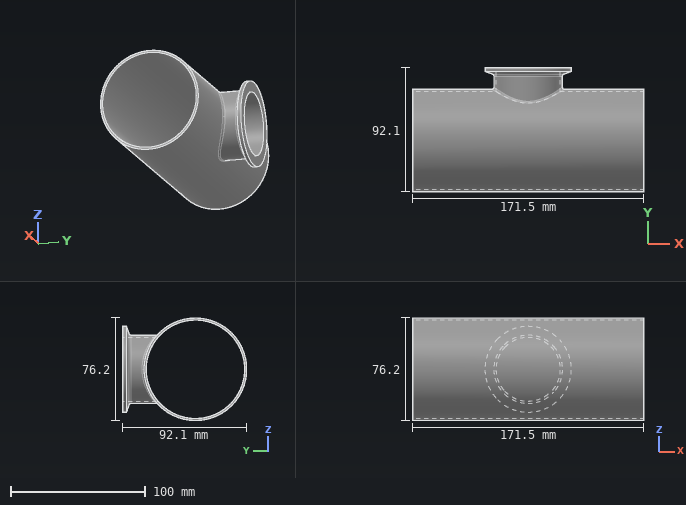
import cadquery as cq
import math

run_length = 171.45
run_outer_diameter = 76.2
wall = 1.65
run_outer_radius = run_outer_diameter / 2
run_inner_radius = run_outer_radius - wall

branch_outer_diameter = 50.8
branch_inner_diameter = branch_outer_diameter - 2 * wall
branch_outer_radius = branch_outer_diameter / 2
branch_inner_radius = branch_inner_diameter / 2
branch_face_y = 53.98
ferrule_length = 12.7
joint_y = branch_face_y - ferrule_length

flange_radius = 63.91 / 2
rim_thickness = 2.87
taper_angle = 20
neck_blend_radius = 1.6

weld_radius = 1.5


def make_ferrule():
    """Solid of revolution about Y, from the butt joint to the sealing face."""
    slope = math.radians(taper_angle)
    rim_back_y = branch_face_y - rim_thickness

    blend_centre_radius = branch_outer_radius + neck_blend_radius
    taper_end_radius = blend_centre_radius - neck_blend_radius * math.sin(slope)
    taper_end_y = rim_back_y - (flange_radius - taper_end_radius) * math.tan(slope)
    blend_end_y = taper_end_y - neck_blend_radius * math.cos(slope)
    middle_angle = (math.pi / 2 + slope + math.pi) / 2
    blend_middle = (
        blend_centre_radius + neck_blend_radius * math.cos(middle_angle),
        blend_end_y + neck_blend_radius * math.sin(middle_angle),
    )

    return (
        cq.Workplane("XY")
        .moveTo(0, joint_y)
        .lineTo(branch_outer_radius, joint_y)
        .lineTo(branch_outer_radius, blend_end_y)
        .threePointArc(blend_middle, (taper_end_radius, taper_end_y))
        .lineTo(flange_radius, rim_back_y)
        .lineTo(flange_radius, branch_face_y)
        .lineTo(0, branch_face_y)
        .close()
        .revolve(360, (0, 0, 0), (0, 1, 0))
    )


def cylinder_along_x(radius):
    return cq.Workplane("YZ").circle(radius).extrude(run_length / 2, both=True)


def cylinder_along_y(radius, length):
    """Cylinder from the run axis out to Y = length."""
    return cq.Workplane("XZ").circle(radius).extrude(-length)


def make_welded_tee():
    """Solid run tube and branch stub with the fillet where they meet."""
    tee = cylinder_along_x(run_outer_radius).union(cylinder_along_y(branch_outer_radius, joint_y))
    stub_reach = branch_outer_radius + weld_radius
    around_weld = cq.selectors.BoxSelector(
        (-stub_reach, 0, -stub_reach), (stub_reach, run_outer_radius + weld_radius, stub_reach)
    )
    return tee.edges(around_weld).edges("not %CIRCLE").edges("not %LINE").fillet(weld_radius)


body = make_welded_tee().union(make_ferrule())
run_bore = cylinder_along_x(run_inner_radius)
branch_bore = cylinder_along_y(branch_inner_radius, branch_face_y)

result = body.cut(run_bore).cut(branch_bore)